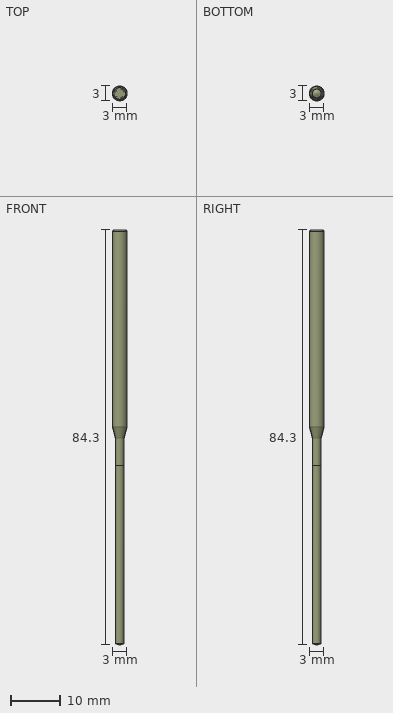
import cadquery as cq
import math

overall_length = 84.33
shank_diameter = 3.0
shank_length = 40.0
shank_chamfer = 0.3
drill_diameter = 1.8
cutter_length = 36.5
taper_half_angle = math.radians(15)
point_half_angle = math.radians(70)

shank_radius = shank_diameter / 2
drill_radius = drill_diameter / 2
taper_length = (shank_radius - drill_radius) / math.tan(taper_half_angle)
point_height = drill_radius / math.tan(point_half_angle)
shank_bottom = overall_length - shank_length
taper_bottom = shank_bottom - taper_length


def turned(profile):
    """Revolve a half profile of (radius, height) points about Z, starting on the -Y side."""
    points = [(-radius, height) for radius, height in profile]
    return cq.Workplane("YZ").polyline(points).close().revolve(360, (0, 0), (0, 1))


holder = turned([
    (0, cutter_length),
    (drill_radius, cutter_length),
    (drill_radius, taper_bottom),
    (shank_radius, shank_bottom),
    (shank_radius, overall_length - shank_chamfer),
    (shank_radius - shank_chamfer, overall_length),
    (0, overall_length),
])

cutter = turned([
    (0, 0),
    (drill_radius, point_height),
    (drill_radius, cutter_length),
    (0, cutter_length),
])

result = cq.Compound.makeCompound([holder.val(), cutter.val()])